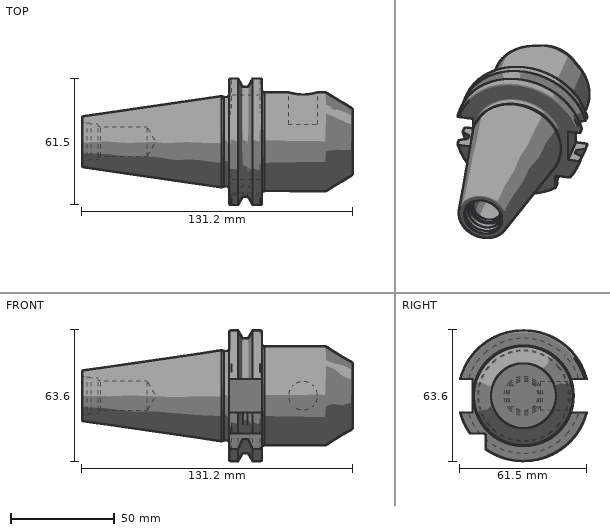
import cadquery as cq
import math

length = 131.2

taper_end = 67.6
taper_large_radius = 22.2
taper_ratio = 7 / 24
taper_small_radius = taper_large_radius - taper_end * taper_ratio / 2
shank_fillet = 0.9

neck_radius = 21.8
neck_ramp = 1.2
neck_fillet = 0.9

flange_radius = 31.8
flange_start = 71.3
flange_end = 87.3
flange_fillet = 1.0
groove_center = 79.1
groove_floor_radius = 28.0
groove_floor_width = 2.8
groove_fillet = 0.5
groove_half_angle = 30

body_radius = 24.0
body_root_radius = 24.4
body_root_length = 1.0
nose_start = 118.1
nose_radius = 16.4
nose_chamfer = 0.7
nose_fillet = 0.7

slot_width = 16.1
front_slot_floor = 24.8
back_slot_floor = 22.7
notch_offset = 18.4
notch_fillet = 0.8

mouth_radius = 9.5
mouth_depth = 2.4
pilot_start = 4.2
pilot_radius = 8.5
pilot_end = 7.6
countersink_radius = 7.7
countersink_depth = 1.3
thread_radius = 7.1
thread_end = 31.5
drill_tip_half_angle = 59

screw_x = 107.1
screw_radius = 7.0
screw_depth = 15.8

match_tolerance = 0.001


def revolve_about_x(profile):
    return profile.close().revolve(360, (0, 0, 0), (1, 0, 0))


def round_edge(body, x, radius, fillet):
    """Fillet the circular edge of the given radius at position x."""
    circles = [
        edge
        for edge in body.edges("%CIRCLE").vals()
        if math.isclose(edge.Center().x, x, abs_tol=match_tolerance)
        and math.isclose(edge.radius(), radius, abs_tol=match_tolerance)
    ]
    return body.newObject(circles).fillet(fillet)


def make_body():
    groove_flare = (flange_radius - groove_floor_radius) * math.tan(math.radians(groove_half_angle))
    floor_half = groove_floor_width / 2
    mouth_half = floor_half + groove_flare
    profile = (
        cq.Workplane("XY")
        .lineTo(0, taper_small_radius)
        .lineTo(taper_end, taper_large_radius)
        .lineTo(taper_end + neck_ramp, neck_radius)
        .lineTo(flange_start, neck_radius)
        .lineTo(flange_start, flange_radius)
        .lineTo(groove_center - mouth_half, flange_radius)
        .lineTo(groove_center - floor_half, groove_floor_radius)
        .lineTo(groove_center + floor_half, groove_floor_radius)
        .lineTo(groove_center + mouth_half, flange_radius)
        .lineTo(flange_end, flange_radius)
        .lineTo(flange_end, body_root_radius)
        .lineTo(flange_end + body_root_length, body_radius)
        .lineTo(nose_start, body_radius)
        .lineTo(length - nose_chamfer, nose_radius)
        .lineTo(length, nose_radius - nose_chamfer)
        .lineTo(length, 0)
    )
    body = revolve_about_x(profile)
    rounded_edges = [
        (0, taper_small_radius, shank_fillet),
        (flange_start, neck_radius, neck_fillet),
        (flange_start, flange_radius, flange_fillet),
        (groove_center - floor_half, groove_floor_radius, groove_fillet),
        (groove_center + floor_half, groove_floor_radius, groove_fillet),
        (flange_end, flange_radius, flange_fillet),
        (nose_start, body_radius, nose_fillet),
    ]
    for x, radius, fillet in rounded_edges:
        body = round_edge(body, x, radius, fillet)
    return body


def make_shank_bore():
    tip_length = thread_radius / math.tan(math.radians(drill_tip_half_angle))
    profile = (
        cq.Workplane("XY")
        .lineTo(0, mouth_radius)
        .lineTo(mouth_depth, mouth_radius)
        .lineTo(pilot_start, pilot_radius)
        .lineTo(pilot_end, pilot_radius)
        .lineTo(pilot_end, countersink_radius)
        .lineTo(pilot_end + countersink_depth, thread_radius)
        .lineTo(thread_end, thread_radius)
        .lineTo(thread_end + tip_length, 0)
    )
    return revolve_about_x(profile)


def flange_block(y_size, z_size):
    """Cutter spanning the flange thickness, with its lowest corner at Y = Z = 0."""
    return (
        cq.Workplane("XY")
        .box(flange_end - flange_start, y_size, z_size, centered=False)
        .translate((flange_start, 0, 0))
    )


def make_drive_slot(floor, side):
    slot = flange_block(flange_radius, slot_width).translate((0, floor, -slot_width / 2))
    if side < 0:
        slot = slot.mirror("XZ")
    return slot


def make_notch():
    return (
        flange_block(flange_radius, flange_radius)
        .edges(">Y and >Z")
        .fillet(notch_fillet)
        .translate((0, -notch_offset - flange_radius, -notch_offset - flange_radius))
    )


def make_screw_hole():
    return (
        cq.Workplane("XZ", origin=(screw_x, body_radius, 0))
        .circle(screw_radius)
        .extrude(screw_depth)
    )


result = (
    make_body()
    .cut(make_shank_bore())
    .cut(make_drive_slot(front_slot_floor, -1))
    .cut(make_drive_slot(back_slot_floor, 1))
    .cut(make_notch())
    .cut(make_screw_hole())
)